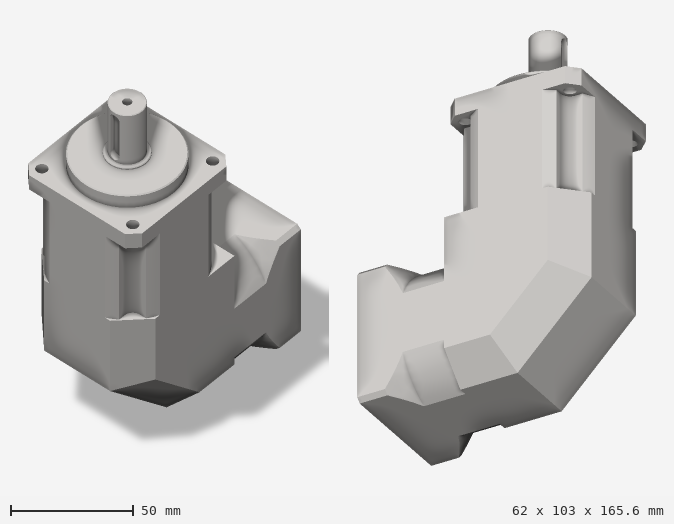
import cadquery as cq
import math


width = 62.0
half_width = width / 2
total_length = 103.0
total_height = 165.6

flange_top = 129.7
flange_thickness = 8.1
flange_corner_chamfer = 5.0
flange_bottom = flange_top - flange_thickness
bolt_spacing = 49.3
bolt_hole_diameter = 5.5
pilot_diameter = 50.0
pilot_height = 7.0
pilot_chamfer = 0.5
pilot_top = flange_top + pilot_height
collar_diameter = 20.0
collar_height = 1.0
collar_chamfer = 0.3

shaft_diameter = 16.0
shaft_chamfer = 0.3
key_width = 5.0
key_length = 25.0
key_depth = 3.0
key_top_gap = 2.0
center_hole_diameter = 4.1
center_hole_depth = 12.6
drill_point_angle = 118

elbow_bevel = 35.0
body_edge_chamfer = 13.0

relief_height = 46.5
relief_mouth = 15.9
relief_lip = 10.8
relief_lip_depth = 3.0
relief_lip_bulge = 0.13
relief_arc_start = 6.3

leg_end = total_length - half_width
leg_length = leg_end - half_width
leg_edge_chamfer = 2.0
neck_radius = 34.0
neck_length = 19.5


def make_body():
    """Upright block with a bevelled elbow and chamfered outside edges."""
    outline = [
        (half_width, 0),
        (half_width, flange_bottom),
        (-half_width, flange_bottom),
        (-half_width, elbow_bevel),
        (-half_width + elbow_bevel, 0),
    ]
    block = cq.Workplane("YZ").polyline(outline).close().extrude(half_width, both=True)
    outside_faces = ("<Y", "<Z", ">(0, -1, -1)")
    side_edges = cq.Workplane()
    for face in outside_faces:
        side_edges = side_edges.add(block.faces(face).edges("<X or >X"))
    return block.newObject(side_edges.vals()).chamfer(body_edge_chamfer)


def make_leg():
    """Square motor leg, turned down to a round neck with a 45 degree shoulder."""
    block = (
        cq.Workplane("XY")
        .box(width, leg_length, width, centered=(True, False, False))
        .translate((0, half_width, 0))
        .edges("|Y")
        .chamfer(leg_edge_chamfer)
    )
    neck_end = half_width + neck_length
    shoulder_radius = neck_radius + leg_end - neck_end
    turned = (
        cq.Workplane("XY")
        .moveTo(0, half_width)
        .lineTo(neck_radius, half_width)
        .lineTo(neck_radius, neck_end)
        .lineTo(shoulder_radius, leg_end)
        .lineTo(0, leg_end)
        .close()
        .revolve(360, (0, 0, 0), (0, 1, 0))
        .translate((0, 0, half_width))
    )
    return block.intersect(turned)


def make_flange():
    """Square output flange with bevelled corners and four through holes."""
    return (
        cq.Workplane("XY", origin=(0, 0, flange_bottom))
        .rect(width, width)
        .extrude(flange_thickness)
        .edges("|Z")
        .chamfer(flange_corner_chamfer)
        .faces(">Z")
        .workplane()
        .rect(bolt_spacing, bolt_spacing, forConstruction=True)
        .vertices()
        .hole(bolt_hole_diameter)
    )


def cylinder(diameter, bottom, top):
    return cq.Workplane("XY", origin=(0, 0, bottom)).circle(diameter / 2).extrude(top - bottom)


def make_keyway():
    """Round-ended key slot on the -Y side of the shaft."""
    middle = total_height - key_top_gap - key_length / 2
    floor = -shaft_diameter / 2 + key_depth
    return (
        cq.Workplane("XZ", origin=(0, floor, middle))
        .slot2D(key_length, key_width, 90)
        .extrude(shaft_diameter)
    )


def make_center_hole():
    """Blind hole in the shaft end with a drill-point bottom."""
    radius = center_hole_diameter / 2
    straight_end = total_height - center_hole_depth
    point_height = radius / math.tan(math.radians(drill_point_angle / 2))
    return (
        cq.Workplane("XZ")
        .moveTo(0, total_height)
        .lineTo(radius, total_height)
        .lineTo(radius, straight_end)
        .lineTo(0, straight_end - point_height)
        .close()
        .revolve(360, (0, 0, 0), (0, 1, 0))
    )


def make_corner_relief():
    """Relief at the (-X, -Y) corner: rounded lips, short flats and a round floor."""
    arc_radius = relief_lip - relief_arc_start
    arc_middle = relief_arc_start + arc_radius * math.sqrt(0.5)
    return (
        cq.Workplane("XY", origin=(-half_width, -half_width, flange_bottom - relief_height))
        .lineTo(relief_mouth, 0)
        .sagittaArc((relief_lip, relief_lip_depth), relief_lip_bulge)
        .lineTo(relief_lip, relief_arc_start)
        .threePointArc((arc_middle, arc_middle), (relief_arc_start, relief_lip))
        .lineTo(relief_lip_depth, relief_lip)
        .sagittaArc((0, relief_mouth), relief_lip_bulge)
        .close()
        .extrude(relief_height)
    )


body = make_body()
relief = make_corner_relief()
for quarter_turn in range(4):
    body = body.cut(relief.rotate((0, 0, 0), (0, 0, 1), 90 * quarter_turn))

pilot = cylinder(pilot_diameter, flange_top, pilot_top).faces(">Z").chamfer(pilot_chamfer)
collar = cylinder(collar_diameter, pilot_top, pilot_top + collar_height).faces(">Z").chamfer(collar_chamfer)
shaft = cylinder(shaft_diameter, pilot_top, total_height).faces(">Z").chamfer(shaft_chamfer)
shaft = shaft.cut(make_keyway()).cut(make_center_hole())

result = body.union(make_leg()).union(make_flange()).union(pilot).union(collar).union(shaft)